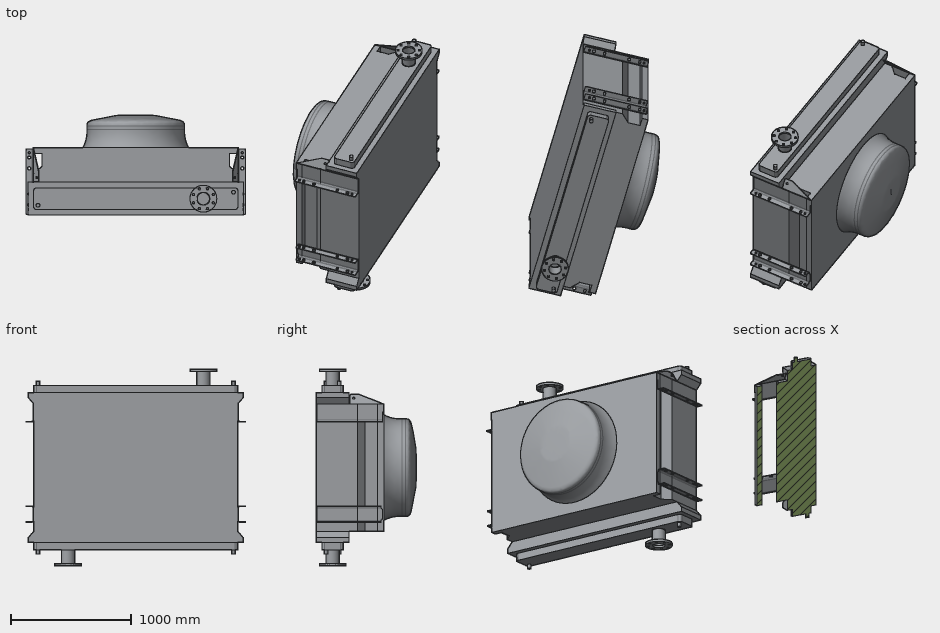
import cadquery as cq
import math


CORE_HALF_WIDTH = 846.0
CORE_HALF_HEIGHT = 528.0
HOUSING_BACK = 560.0
POCKET_BACK = 510.0
POCKET_FRONT = 405.0
POCKET_SLOPE_END = 342.0
POCKET_DEPTH = 70.0

TANK_DEPTH = 273.0
TANK_HALF_WIDTH = 892.0
TANK_SHOULDER = 580.0
TANK_TOP = 620.0
TANK_MID = TANK_DEPTH / 2
HEADER_TOP = 682.0
HEADER_DEPTH = 178.0
HEADER_CORNER_RADIUS = 24.0

PIN_RADIUS = 15.5
PIN_TOP = 717.0
PIN_X = 810.0
PIN_Y_OFFSET = 55.0

PIPE_X = 560.0
PIPE_RADIUS = 56.0
BORE_RADIUS = 51.0
FLANGE_RADIUS = 111.0
FLANGE_THICKNESS = 20.0
CONNECTION_TOP = 815.0
BOLT_COUNT = 8
BOLT_CIRCLE_RADIUS = 90.0
BOLT_HOLE_RADIUS = 10.0

COWL_MOUTH_RADIUS = 439.0
COWL_RADIUS = 405.0
COWL_THROAT_POINT = (415.0, 619.0)
COWL_RING_START = 712.0
COWL_RING_END = 740.0
DOME_SHOULDER_POINT = (359.0, 790.0)
DOME_CROWN_POINT = (198.0, 820.0)
DOME_TOP = 830.0

SHEET = 5.0
BEND_INNER_RADIUS = 10.0
BRACKET_REACH = 910.0
BRACKET_FRONT = 5.0
FLANGE_TIP_RADIUS = 10.0
TAB_CORNER = 11.0

HOLE_MID_Y = 282.0
HOLE_X = 883.0
SMALL_HOLE = 16.0
SLOT_LENGTH = 27.0
SLOT_WIDTH = 18.0
LARGE_HOLE = 25.0
FLANGE_HOLES = [
    (235.0, SMALL_HOLE, SMALL_HOLE),
    (197.0, SLOT_LENGTH, SLOT_WIDTH),
    (105.0, LARGE_HOLE, LARGE_HOLE),
    (-105.0, SLOT_LENGTH, SLOT_WIDTH),
    (-197.0, LARGE_HOLE, LARGE_HOLE),
    (-235.0, SMALL_HOLE, SMALL_HOLE),
]

UPPER_BOTTOM = 379.0
UPPER_BACK = 550.0
UPPER_TAB_BOTTOM = 462.0
LIFT_FRONT = 280.0
LIFT_CREST_BACK = 351.0
LIFT_RISE = 82.0
LIFT_LEAN = 30
LIFT_CORNER = 10.0
LIFT_HOLE_Y = 311.0
LIFT_HOLE_RISE = 50.0
LIFT_HOLE_DIAMETER = 16.0

LOWER_TOP = -318.0
LOWER_BOTTOM = -453.0
LOWER_BACK = 539.0
LOWER_TAB_INSET = 18.0


def block(x_range, y_range, z_range):
    """Axis-aligned box between the given limits."""
    size = [high - low for low, high in (x_range, y_range, z_range)]
    corner = (x_range[0], y_range[0], z_range[0])
    return cq.Workplane("XY").box(*size, centered=False).translate(corner)


def upright_cylinder(x, y, z_low, z_high, radius):
    return cq.Workplane("XY", origin=(x, y, z_low)).circle(radius).extrude(z_high - z_low)



def make_housing():
    """Box behind and around the core, with a full-height pocket in each side."""
    floor = CORE_HALF_WIDTH - POCKET_DEPTH
    right_side = [
        (CORE_HALF_WIDTH, 0),
        (CORE_HALF_WIDTH, POCKET_SLOPE_END),
        (floor, POCKET_FRONT),
        (floor, POCKET_BACK),
        (CORE_HALF_WIDTH, POCKET_BACK),
        (CORE_HALF_WIDTH, HOUSING_BACK),
    ]
    left_side = [(-x, y) for x, y in reversed(right_side)]
    return (
        cq.Workplane("XY", origin=(0, 0, -CORE_HALF_HEIGHT))
        .polyline(right_side + left_side)
        .close()
        .extrude(2 * CORE_HALF_HEIGHT)
    )


def make_connection():
    """Solid pipe stub with a drilled flange; the bore is cut afterwards."""
    flange_bottom = CONNECTION_TOP - FLANGE_THICKNESS
    pipe = upright_cylinder(PIPE_X, TANK_MID, HEADER_TOP, CONNECTION_TOP, PIPE_RADIUS)
    flange = upright_cylinder(PIPE_X, TANK_MID, flange_bottom, CONNECTION_TOP, FLANGE_RADIUS)
    bolt_holes = (
        cq.Workplane("XY", origin=(PIPE_X, TANK_MID, flange_bottom))
        .polarArray(BOLT_CIRCLE_RADIUS, 180 / BOLT_COUNT, 360, BOLT_COUNT)
        .circle(BOLT_HOLE_RADIUS)
        .extrude(FLANGE_THICKNESS)
    )
    bore = upright_cylinder(PIPE_X, TANK_MID, HEADER_TOP, CONNECTION_TOP, BORE_RADIUS)
    return pipe.union(flange).cut(bolt_holes).cut(bore)


def make_top_tank():
    """Flared tank with its header, two vent pins and a pipe connection."""
    tank = (
        cq.Workplane("XZ")
        .polyline([
            (-CORE_HALF_WIDTH, CORE_HALF_HEIGHT),
            (-TANK_HALF_WIDTH, TANK_SHOULDER),
            (-TANK_HALF_WIDTH, TANK_TOP),
            (TANK_HALF_WIDTH, TANK_TOP),
            (TANK_HALF_WIDTH, TANK_SHOULDER),
            (CORE_HALF_WIDTH, CORE_HALF_HEIGHT),
        ])
        .close()
        .extrude(-TANK_DEPTH)
    )
    header = (
        cq.Workplane("XY", origin=(0, TANK_MID, TANK_TOP))
        .rect(2 * CORE_HALF_WIDTH, HEADER_DEPTH)
        .extrude(HEADER_TOP - TANK_TOP)
        .edges("|Z")
        .fillet(HEADER_CORNER_RADIUS)
    )
    tank = tank.union(header).union(make_connection())
    for side in (-1, 1):
        pin_y = TANK_MID + side * PIN_Y_OFFSET
        tank = tank.union(upright_cylinder(side * PIN_X, pin_y, HEADER_TOP, PIN_TOP, PIN_RADIUS))
    return tank


def make_fan_cowl():
    """Flared cowl with a plain ring, closed by a shallow dome."""
    return (
        cq.Workplane("XY")
        .moveTo(0, HOUSING_BACK)
        .lineTo(COWL_MOUTH_RADIUS, HOUSING_BACK)
        .threePointArc(COWL_THROAT_POINT, (COWL_RADIUS, COWL_RING_START))
        .lineTo(COWL_RADIUS, COWL_RING_END)
        .spline(
            [DOME_SHOULDER_POINT, DOME_CROWN_POINT, (0, DOME_TOP)],
            tangents=[(0, 1), (-1, 0)],
            includeCurrent=True,
        )
        .close()
        .revolve(360, (0, 0), (0, 1))
        .rotate((0, 0, 0), (0, 1, 0), -90)
    )


def make_cooler():
    """The bottom tank is the top tank turned half a revolution about the Y axis."""
    top_tank = make_top_tank()
    bottom_tank = top_tank.rotate((0, 0, 0), (0, 1, 0), 180)
    return make_housing().union(top_tank).union(bottom_tank).union(make_fan_cowl())



def folded_sheet(y_back, z_range, inner_z_range, bend_edges):
    """Web against the core side with outward flanges, rounded at the bends."""
    y_range = (BRACKET_FRONT, y_back)
    outer = block((CORE_HALF_WIDTH, BRACKET_REACH), y_range, z_range)
    outer = outer.edges(bend_edges).fillet(BEND_INNER_RADIUS + SHEET)
    inner = block((CORE_HALF_WIDTH + SHEET, BRACKET_REACH), y_range, inner_z_range)
    inner = inner.edges(bend_edges).fillet(BEND_INNER_RADIUS)
    return outer.cut(inner).edges("|Z and >X").fillet(FLANGE_TIP_RADIUS)


def flange_hole_cutters(z_range):
    """Round holes and slots through every flange within the height range."""
    height = z_range[1] - z_range[0]
    cutters = cq.Workplane("XY", origin=(HOLE_X, HOLE_MID_Y, z_range[0]))
    for offset, length, width in FLANGE_HOLES:
        cutters = cutters.moveTo(0, offset)
        if length > width:
            cutters = cutters.slot2D(length, width)
        else:
            cutters = cutters.circle(width / 2)
    return cutters.extrude(height)


def make_lifting_plate():
    """Plate hinged on the outer top edge of the web and leaning over the housing."""
    slant = LIFT_RISE / math.cos(math.radians(LIFT_LEAN))
    hole_slant = LIFT_HOLE_RISE / math.cos(math.radians(LIFT_LEAN))
    plate = (
        cq.Workplane("YZ")
        .polyline([
            (LIFT_FRONT, 0),
            (LIFT_FRONT, slant - LIFT_CORNER),
            (LIFT_FRONT + LIFT_CORNER, slant),
            (LIFT_CREST_BACK, slant),
            (HOUSING_BACK, 0),
        ])
        .close()
        .extrude(-SHEET)
    )
    hole = (
        cq.Workplane("YZ", origin=(0, LIFT_HOLE_Y, hole_slant))
        .circle(LIFT_HOLE_DIAMETER / 2)
        .extrude(-SHEET)
    )
    leaning = plate.cut(hole).rotate((0, 0, 0), (0, 1, 0), -LIFT_LEAN)
    leaning = leaning.translate((CORE_HALF_WIDTH + SHEET, 0, CORE_HALF_HEIGHT))
    below_top = block((0, BRACKET_REACH), (0, HOUSING_BACK), (0, CORE_HALF_HEIGHT))
    return leaning.cut(below_top)


def make_upper_bracket():
    z_range = (UPPER_BOTTOM, CORE_HALF_HEIGHT)
    inner_z_range = (UPPER_BOTTOM + SHEET, CORE_HALF_HEIGHT)
    sheet = folded_sheet(UPPER_BACK, z_range, inner_z_range, "|Y and <X and <Z")
    rear_tab = block(
        (CORE_HALF_WIDTH, CORE_HALF_WIDTH + SHEET),
        (UPPER_BACK, HOUSING_BACK),
        (UPPER_TAB_BOTTOM, CORE_HALF_HEIGHT),
    )
    bracket = sheet.union(rear_tab).union(make_lifting_plate())
    return bracket.cut(flange_hole_cutters(z_range))


def make_lower_bracket():
    z_range = (LOWER_BOTTOM, LOWER_TOP)
    inner_z_range = (LOWER_BOTTOM + SHEET, LOWER_TOP - SHEET)
    sheet = folded_sheet(LOWER_BACK, z_range, inner_z_range, "|Y and <X")
    rear_tab = (
        cq.Workplane("YZ", origin=(CORE_HALF_WIDTH, 0, 0))
        .polyline([
            (LOWER_BACK, LOWER_BOTTOM + LOWER_TAB_INSET),
            (LOWER_BACK + TAB_CORNER, LOWER_BOTTOM + LOWER_TAB_INSET + TAB_CORNER),
            (LOWER_BACK + TAB_CORNER, LOWER_TOP - LOWER_TAB_INSET - TAB_CORNER),
            (LOWER_BACK, LOWER_TOP - LOWER_TAB_INSET),
        ])
        .close()
        .extrude(SHEET)
    )
    return sheet.union(rear_tab).cut(flange_hole_cutters(z_range))



cooler = make_cooler()
brackets = []
for right_bracket in (make_upper_bracket(), make_lower_bracket()):
    brackets.append(right_bracket.val())
    brackets.append(right_bracket.mirror("YZ").val())

result = cq.Compound.makeCompound([cooler.val(), *brackets])